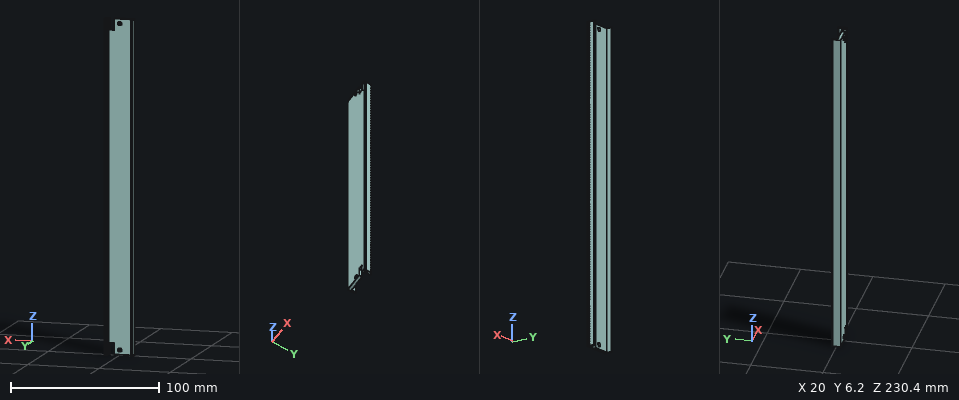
import cadquery as cq

width = 20.0
depth = 6.2
length = 230.4
web_thickness = 2.5
left_flange_thickness = 1.2
right_flange_thickness = 2.0
tip_chamfer = 0.7

outer_groove_depth = 1.0
outer_groove_front = 0.7
outer_groove_width = 1.0
inner_groove_depth = 0.7
inner_groove_front = 1.8
inner_groove_width = 1.4

hole_diameter = 2.5
hole_x = width / 2
hole_end_distance = 3.2
slot_left = 13.8
slot_width = 3.5
slot_depth = 7.8


def bar(left, front, bottom, size_x, size_y, size_z):
    """Rectangular bar placed by its lowest corner."""
    return cq.Workplane("XY").box(size_x, size_y, size_z, centered=False).translate((left, front, bottom))


def end_hole(z):
    """Round hole through the web, along Y."""
    return (
        cq.Workplane("XZ")
        .center(hole_x, z)
        .circle(hole_diameter / 2)
        .extrude(-web_thickness)
    )


right_flange_left = width - right_flange_thickness
web = bar(0, 0, 0, width, web_thickness, length)
left_flange = bar(0, 0, 0, left_flange_thickness, depth, length)
left_flange = left_flange.edges("<X and >Y").chamfer(tip_chamfer)
right_flange = bar(right_flange_left, 0, 0, right_flange_thickness, depth, length)
right_flange = right_flange.faces(">Y").edges("|Z").chamfer(tip_chamfer)
result = web.union(left_flange).union(right_flange)

outer_groove = bar(
    width - outer_groove_depth, outer_groove_front, 0, outer_groove_depth, outer_groove_width, length
)
inner_groove = bar(
    right_flange_left, inner_groove_front, 0, inner_groove_depth, inner_groove_width, length
)
result = result.cut(outer_groove).cut(inner_groove)

for hole_z in (hole_end_distance, length - hole_end_distance):
    result = result.cut(end_hole(hole_z))

for slot_bottom in (0, length - slot_depth):
    slot = bar(slot_left, 0, slot_bottom, slot_width, web_thickness, slot_depth)
    result = result.cut(slot)